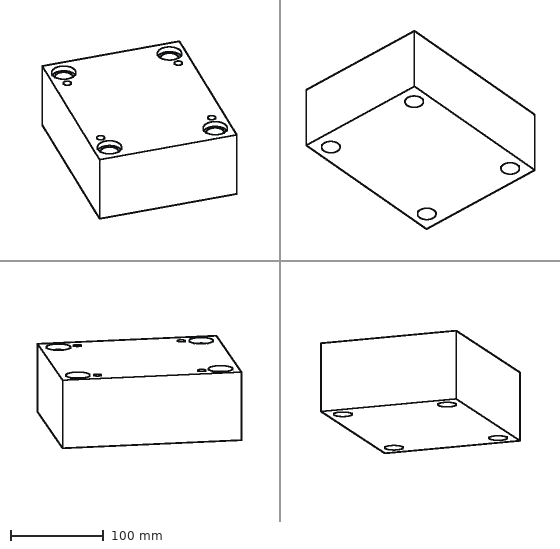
import cadquery as cq
import math

length = 195.7
width = 155.8
height = 76.0

bolt_spacing_x = 156.0
bolt_spacing_y = 120.0
bolt_diameter = 20.0
counterbore_diameter = 26.0
counterbore_depth = 6.0

pilot_spacing_x = 113.9
pilot_spacing_y = 126.0
pilot_diameter = 8.5
pilot_depth = 20.0
drill_point_angle = 118.0


def make_block():
    return cq.Workplane("XY").box(length, width, height, centered=(True, True, False))


def cut_bolt_holes(body):
    """Cut the four counterbored holes from the top face."""
    return (
        body.faces(">Z")
        .workplane()
        .rarray(bolt_spacing_x, bolt_spacing_y, 2, 2)
        .cboreHole(bolt_diameter, counterbore_diameter, counterbore_depth)
    )


def make_pilot_drill():
    """Half profile of a pointed drill revolved about Z, with its top at Z = 0."""
    radius = pilot_diameter / 2
    point_height = radius / math.tan(math.radians(drill_point_angle / 2))
    profile = [
        (0, 0),
        (radius, 0),
        (radius, -pilot_depth),
        (0, -pilot_depth - point_height),
    ]
    return cq.Workplane("XZ").polyline(profile).close().revolve(360, (0, 0), (0, 1))


def cut_pilot_holes(body):
    """Cut the four blind holes from the top face."""
    drill = make_pilot_drill()
    for side_x in (-1, 1):
        for side_y in (-1, 1):
            x = side_x * pilot_spacing_x / 2
            y = side_y * pilot_spacing_y / 2
            body = body.cut(drill.translate((x, y, height)))
    return body


result = cut_pilot_holes(cut_bolt_holes(make_block()))